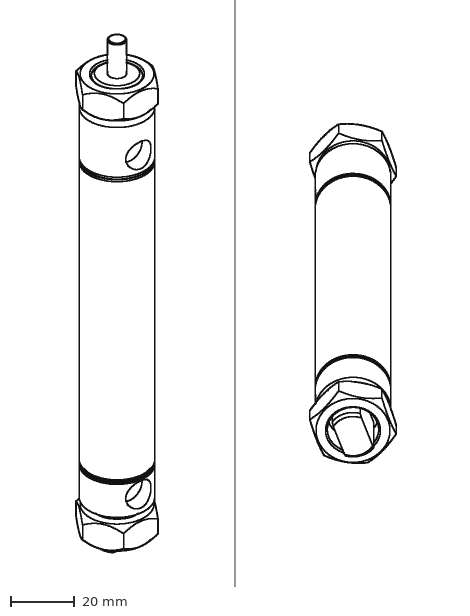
import cadquery as cq
import math

total_length = 186.5

barrel_diameter = 23.7
barrel_bottom = 16.2
barrel_top = 161.0

neck_diameter = 16.0
neck_chamfer = 1.0
front_neck_top = 173.5
rear_flat_width = 9.3

groove_depth = 0.7
groove_pitch = 1.0
grooves_per_joint = 2
tube_top = 141.0
tube_bottom = 30.2

port_diameter = 10.0
port_depth = 5.5
front_port_height = 149.2
rear_port_height = 23.1

rod_diameter = 6.0
rod_chamfer = 0.4

nut_across_flats = 23.9
nut_height = 10.0
nut_face_diameter = 23.1
nut_countersink = 0.5
front_nut_bottom = 163.3
rear_nut_bottom = 3.5

barrel_radius = barrel_diameter / 2
nut_across_corners = nut_across_flats / math.cos(math.pi / 6)


def cylinder(diameter, bottom, top):
    """Solid cylinder on the Z axis."""
    return cq.Workplane("XY").workplane(offset=bottom).circle(diameter / 2).extrude(top - bottom)


def crimp_groove(tube_end, direction):
    """Sawtooth ring to cut: a 45-degree flank rising toward the tube and a flat wall on the cap side."""
    wall = tube_end + direction * groove_depth
    return (
        cq.Workplane("XZ")
        .moveTo(barrel_radius, tube_end)
        .lineTo(barrel_radius - groove_depth, wall)
        .lineTo(barrel_radius, wall)
        .close()
        .revolve(360, (0, 0, 0), (0, 1, 0))
    )


def port(height):
    """Radial air port to cut from the +X side of the barrel."""
    return (
        cq.Workplane("YZ")
        .workplane(offset=barrel_radius - port_depth)
        .center(0, height)
        .circle(port_diameter / 2)
        .extrude(port_depth)
    )


def make_front_neck():
    return cylinder(neck_diameter, barrel_top, front_neck_top).faces(">Z").chamfer(neck_chamfer)


def make_rear_neck():
    """Chamfered neck with two flats facing -X and +X."""
    neck = cylinder(neck_diameter, 0, barrel_bottom).faces("<Z").chamfer(neck_chamfer)
    flats = cq.Workplane("XY").rect(rear_flat_width, neck_diameter).extrude(barrel_bottom)
    return neck.intersect(flats)


def make_body():
    """Cylinder body with its necks, grooves, ports and rod socket."""
    body = cylinder(barrel_diameter, barrel_bottom, barrel_top)
    body = body.union(make_front_neck()).union(make_rear_neck())
    for tube_end, direction in ((tube_top, 1), (tube_bottom, -1)):
        for index in range(grooves_per_joint):
            groove_start = tube_end + direction * index * groove_pitch
            body = body.cut(crimp_groove(groove_start, direction))
    for height in (front_port_height, rear_port_height):
        body = body.cut(port(height))
    rod_socket = cylinder(rod_diameter, barrel_top, front_neck_top)
    return body.cut(rod_socket)


def make_rod():
    """Piston rod seated in the socket through the front neck."""
    return cylinder(rod_diameter, barrel_top, total_length).faces(">Z").chamfer(rod_chamfer)


def make_nut(bottom):
    """Hexagon nut with chamfered corners, its corners pointing along Y."""
    corner_chamfer = (nut_across_corners - nut_face_diameter) / 2
    nut = (
        cq.Workplane("XY")
        .workplane(offset=bottom)
        .transformed(rotate=(0, 0, 90))
        .polygon(6, nut_across_corners)
        .extrude(nut_height)
    )
    envelope = (
        cylinder(nut_across_corners, bottom, bottom + nut_height)
        .faces("<Z or >Z")
        .chamfer(corner_chamfer)
    )
    bore = cylinder(neck_diameter, bottom, bottom + nut_height)
    nut = nut.intersect(envelope).cut(bore)
    bore_rims = cq.selectors.RadiusNthSelector(0)
    return nut.edges(bore_rims).chamfer(nut_countersink)


body = make_body()
rod = make_rod()
nuts = [make_nut(bottom) for bottom in (front_nut_bottom, rear_nut_bottom)]

result = cq.Compound.makeCompound([body.val(), rod.val(), *[nut.val() for nut in nuts]])